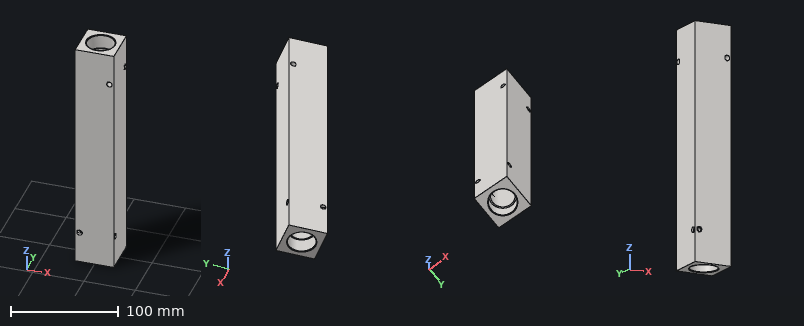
import cadquery as cq

length = 231.8
width = 38.0

bore_diameter = 23.0
seat_inner_diameter = 25.7
seat_outer_diameter = 26.7
seat_depth = 14.0
mouth_diameter = 28.0

hole_diameter = 5.0
hole_edge_distance = 4.5
hole_end_distance = 31.8

hole_offset = width / 2 - hole_edge_distance


def cross_holes(z, offset):
    """One hole along X and one along Y, both at height z and shifted sideways by offset."""
    holes = cq.Workplane("XY")
    for plane in ("XZ", "YZ"):
        hole = cq.Workplane(plane).center(offset, z).circle(hole_diameter / 2)
        holes = holes.add(hole.extrude(width / 2, both=True))
    return holes.combine()


def bore():
    """Solid of revolution that fills the bore, both tapered seats and their mouths."""
    bore_radius = bore_diameter / 2
    seat_inner_radius = seat_inner_diameter / 2
    seat_outer_radius = seat_outer_diameter / 2
    mouth_radius = mouth_diameter / 2
    chamfer = mouth_radius - seat_outer_radius
    lower_half = (
        cq.Workplane("XZ")
        .moveTo(0, 0)
        .lineTo(mouth_radius, 0)
        .lineTo(seat_outer_radius, chamfer)
        .lineTo(seat_inner_radius, seat_depth)
        .lineTo(bore_radius, seat_depth)
        .lineTo(bore_radius, length / 2)
        .lineTo(0, length / 2)
        .close()
        .revolve(360, (0, 0, 0), (0, 1, 0))
    )
    upper_half = lower_half.mirror("XY", (0, 0, length / 2))
    return lower_half.union(upper_half)


bar = cq.Workplane("XY").box(width, width, length, centered=(True, True, False))
lower_holes = cross_holes(hole_end_distance, -hole_offset)
upper_holes = cross_holes(length - hole_end_distance, hole_offset)

result = bar.cut(bore()).cut(lower_holes).cut(upper_holes)